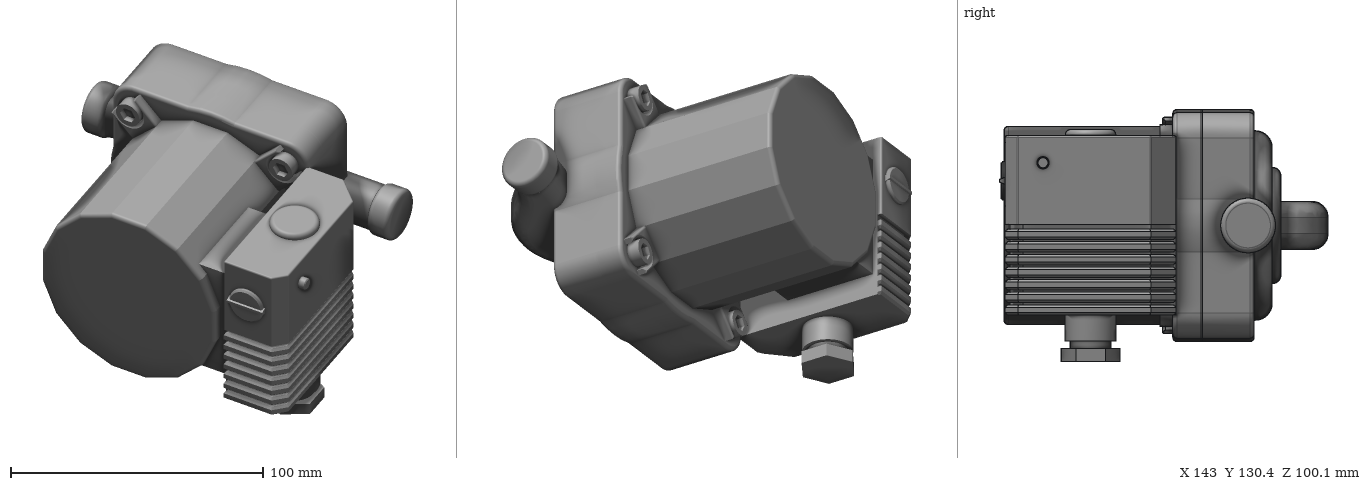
import cadquery as cq
import math


FLANGE_HALF = 44.8
BULGE_HALF_WIDTH = 10.6
BULGE_RISE = 1.3
CORNER_RADIUS = 10
FLANGE_FILLET = 1.7
SCREW_OFFSET = FLANGE_HALF - CORNER_RADIUS

GASKET_THICKNESS = 0.6
JOINT_BACK = GASKET_THICKNESS / 2
JOINT_FRONT = -GASKET_THICKNESS / 2
HOUSING_BACK = 20.7
FLANGE_FRONT = -11.6
MOTOR_FRONT = -78.5

VOLUTE_RADIUS = 37.6
VOLUTE_BACK = 27.9
VOLUTE_FILLET = 6.9
HUB_RADIUS = 23.0
HUB_BACK = 31.3
HUB_FILLET = 3.3
PIPE_RADIUS = 9.6
PORT_Y = 18.3
PORT_END = 70
PORT_RING_RADIUS = 10.9
PORT_RING_LENGTH = 10
PORT_RING_FILLET = 2.0
ELBOW_BACK_POINTS = [(-60, 28.2), (-51.8, 32.6), (-37.5, 44.9), (-17.9, 50), (0.6, 43.5), (8.6, 31.5)]
ELBOW_FRONT_POINT = (-42.9, 13.7)
ELBOW_FILLET = 6.5

CAN_SIDES = 16
CAN_APOTHEM = 39.3
CAN_FILLET = 1.7
CAN_SIDE = 2 * CAN_APOTHEM * math.tan(math.pi / CAN_SIDES)

PAD_HEIGHT = 4.1
PAD_END = 52.9
PAD_FILLET = 0.9
PAD_SLOT_RADIUS = 5.7
PAD_SLOT_CHAMFER = 1.3

HEAD_RADIUS = 5.3
HEAD_HEIGHT = 5.1
SOCKET_ACROSS_CORNERS = 6.9
SOCKET_DEPTH = 2.6

BOX_LEFT = 43.2
BOX_RIGHT = 69.9
BOX_BACK = -10.3
BOX_FRONT = -78.1
BOX_HALF_HEIGHT = 35.6
BOX_BACK_CHAMFER = 10
BOX_FRONT_CHAMFER = 5.0
BOX_FILLET = 0.7
BOX_CENTRE_X = (BOX_LEFT + BOX_RIGHT) / 2
BOX_CENTRE_Y = (BOX_BACK + BOX_FRONT) / 2

FIN_COUNT = 7
FIN_PITCH = 5.0
FIN_THICKNESS = 4.1
FIN_CHAMFER = 1.0
FIN_HEIGHT = 2.0
FIN_REGION_TOP = 0.5

CAP_RADIUS = 10
CAP_HEIGHT = 2.5
CAP_FILLET = 2.0
DIAL_X = 53.9
DIAL_Z = 17.7
DIAL_RADIUS = 7.7
DIAL_HEIGHT = 1.6
DIAL_CHAMFER = 0.7
GRIP_LENGTH = 16.2
GRIP_HEIGHT = 2.3
GRIP_BASE_WIDTH = 2.9
GRIP_TOP_WIDTH = 1.1
PIN_Y = -63.0
PIN_Z = 24.9
PIN_RADIUS = 2.5
PIN_END = 73
PIN_CHAMFER = 0.5

BRIDGE_HALF_HEIGHT = 25.9
BRIDGE_BACK = -33.9
BRIDGE_FRONT = -74.1

GLAND_RADIUS = 10.2
GLAND_NECK_RADIUS = 8.2
GLAND_NUT_ACROSS_FLATS = 20.3
GLAND_NECK_TOP = -45.9
GLAND_NUT_TOP = -48.8
GLAND_BOTTOM = -54.0


def facing_front(y):
    """Workplane at level y with local axes X and Z; extrusion runs toward -Y."""
    return cq.Workplane("XZ", origin=(0, y, 0))


def flange_plate(back, front):
    """Rounded square plate whose four sides each carry a shallow arched bulge."""
    size = 2 * FLANGE_HALF
    plate = facing_front(back).rect(size, size).extrude(back - front).edges("|Y").fillet(CORNER_RADIUS)
    bulge = (
        facing_front(back)
        .moveTo(-BULGE_HALF_WIDTH, 0)
        .lineTo(-BULGE_HALF_WIDTH, FLANGE_HALF)
        .threePointArc((0, FLANGE_HALF + BULGE_RISE), (BULGE_HALF_WIDTH, FLANGE_HALF))
        .lineTo(BULGE_HALF_WIDTH, 0)
        .close()
        .extrude(back - front)
    )
    for quarter in range(4):
        plate = plate.union(bulge.rotate((0, 0, 0), (0, 1, 0), 90 * quarter))
    return plate


def port_ring(inner_x):
    """Thickened pipe end running along X from inner_x."""
    return (
        cq.Workplane("YZ", origin=(inner_x, PORT_Y, 0))
        .circle(PORT_RING_RADIUS)
        .extrude(PORT_RING_LENGTH)
        .edges()
        .fillet(PORT_RING_FILLET)
    )


def inlet_elbow():
    """Flattened pipe that swings behind the volute and runs into it, as thick as the outlet pipe."""
    start_x = PORT_RING_LENGTH - PORT_END - ELBOW_FILLET
    end_x = ELBOW_BACK_POINTS[-1][0]
    return (
        cq.Workplane("XY", origin=(0, 0, -PIPE_RADIUS))
        .moveTo(start_x, PORT_Y + PIPE_RADIUS)
        .spline(ELBOW_BACK_POINTS, includeCurrent=True)
        .lineTo(end_x, HOUSING_BACK)
        .lineTo(*ELBOW_FRONT_POINT)
        .lineTo(start_x, PORT_Y - PIPE_RADIUS)
        .close()
        .extrude(2 * PIPE_RADIUS)
        .faces("<Z or >Z")
        .edges()
        .fillet(ELBOW_FILLET)
    )


def make_housing():
    body = flange_plate(HOUSING_BACK, JOINT_BACK).faces(">Y").edges().fillet(FLANGE_FILLET)
    volute = (
        facing_front(VOLUTE_BACK)
        .circle(VOLUTE_RADIUS)
        .extrude(VOLUTE_BACK - HOUSING_BACK)
        .faces(">Y")
        .edges()
        .fillet(VOLUTE_FILLET)
    )
    hub = (
        facing_front(HUB_BACK)
        .circle(HUB_RADIUS)
        .extrude(HUB_BACK - VOLUTE_BACK)
        .faces(">Y")
        .edges()
        .fillet(HUB_FILLET)
    )
    ring_inner = PORT_END - PORT_RING_LENGTH
    outlet = cq.Workplane("YZ", origin=(0, PORT_Y, 0)).circle(PIPE_RADIUS).extrude(ring_inner)
    rings = port_ring(ring_inner).union(port_ring(-PORT_END))
    return body.union(volute).union(hub).union(outlet).union(inlet_elbow()).union(rings)


def corner_pad():
    """Raised pad at the corner in the +X direction, before turning onto a diagonal."""
    slot_length = 2 * PAD_END
    slot_centre = math.hypot(SCREW_OFFSET, SCREW_OFFSET) + slot_length / 2
    flare_radius = PAD_SLOT_RADIUS + PAD_SLOT_CHAMFER
    pad = (
        facing_front(FLANGE_FRONT)
        .center(PAD_END / 2, 0)
        .rect(PAD_END, CAN_SIDE)
        .extrude(PAD_HEIGHT)
        .edges("<Y and (not <X)")
        .fillet(PAD_FILLET)
    )
    slot = (
        facing_front(FLANGE_FRONT)
        .center(slot_centre, 0)
        .slot2D(slot_length + 2 * PAD_SLOT_RADIUS, 2 * PAD_SLOT_RADIUS)
        .extrude(PAD_HEIGHT)
    )
    flare = (
        facing_front(FLANGE_FRONT - PAD_HEIGHT)
        .center(slot_centre, 0)
        .slot2D(slot_length + 2 * flare_radius, 2 * flare_radius)
        .extrude(-PAD_SLOT_CHAMFER, taper=45)
    )
    return pad.cut(slot).cut(flare)


def make_motor():
    flange = flange_plate(JOINT_FRONT, FLANGE_FRONT).faces("<Y").edges().fillet(FLANGE_FILLET)
    can = (
        facing_front(FLANGE_FRONT)
        .polygon(CAN_SIDES, 2 * CAN_APOTHEM, circumscribed=True)
        .extrude(FLANGE_FRONT - MOTOR_FRONT)
        .faces("<Y")
        .edges()
        .fillet(CAN_FILLET)
    )
    motor = flange.union(can)
    pad = corner_pad()
    for quarter in range(4):
        motor = motor.union(pad.rotate((0, 0, 0), (0, 1, 0), 45 + 90 * quarter))
    return motor


def make_screw(x, z):
    """Socket head resting on the flange."""
    return (
        facing_front(FLANGE_FRONT)
        .center(x, z)
        .circle(HEAD_RADIUS)
        .extrude(HEAD_HEIGHT)
        .faces("<Y")
        .workplane()
        .polygon(6, SOCKET_ACROSS_CORNERS)
        .cutBlind(-SOCKET_DEPTH)
    )


def box_prism(bottom, top, inset=0):
    """Upright prism with the box outline; inset pulls in its front and right sides."""
    right = BOX_RIGHT - inset
    front = BOX_FRONT + inset
    outline = [
        (BOX_LEFT, BOX_BACK),
        (right - BOX_BACK_CHAMFER, BOX_BACK),
        (right, BOX_BACK - BOX_BACK_CHAMFER),
        (right, front + BOX_FRONT_CHAMFER),
        (right - BOX_FRONT_CHAMFER, front),
        (BOX_LEFT, front),
    ]
    return cq.Workplane("XY", origin=(0, 0, bottom)).polyline(outline).close().extrude(top - bottom)


def make_box_shell():
    upper = box_prism(FIN_REGION_TOP, BOX_HALF_HEIGHT).edges("|Z or >Z").fillet(BOX_FILLET)
    shell = upper.union(box_prism(-BOX_HALF_HEIGHT, FIN_REGION_TOP, inset=FIN_HEIGHT))
    for index in range(FIN_COUNT):
        bottom = -BOX_HALF_HEIGHT + index * FIN_PITCH
        fin = box_prism(bottom, bottom + FIN_THICKNESS).faces("<Z or >Z").edges().chamfer(FIN_CHAMFER)
        shell = shell.union(fin)
    return shell


def box_fittings():
    """Round cap on top, dial with a grip on the front, pin on the right side."""
    cap = (
        cq.Workplane("XY", origin=(BOX_CENTRE_X, BOX_CENTRE_Y, BOX_HALF_HEIGHT))
        .circle(CAP_RADIUS)
        .extrude(CAP_HEIGHT)
        .faces(">Z")
        .edges()
        .fillet(CAP_FILLET)
    )
    dial = (
        facing_front(BOX_FRONT)
        .center(DIAL_X, DIAL_Z)
        .circle(DIAL_RADIUS)
        .extrude(DIAL_HEIGHT)
        .faces("<Y")
        .edges()
        .chamfer(DIAL_CHAMFER)
    )
    grip_profile = [
        (BOX_FRONT, DIAL_Z - GRIP_BASE_WIDTH / 2),
        (BOX_FRONT, DIAL_Z + GRIP_BASE_WIDTH / 2),
        (BOX_FRONT - GRIP_HEIGHT, DIAL_Z + GRIP_TOP_WIDTH / 2),
        (BOX_FRONT - GRIP_HEIGHT, DIAL_Z - GRIP_TOP_WIDTH / 2),
    ]
    grip = (
        cq.Workplane("YZ", origin=(DIAL_X - GRIP_LENGTH / 2, 0, 0))
        .polyline(grip_profile)
        .close()
        .extrude(GRIP_LENGTH)
    )
    pin = (
        cq.Workplane("YZ", origin=(BOX_RIGHT, PIN_Y, PIN_Z))
        .circle(PIN_RADIUS)
        .extrude(PIN_END - BOX_RIGHT)
        .faces(">X")
        .edges()
        .chamfer(PIN_CHAMFER)
    )
    return cap.union(dial).union(grip).union(pin)


def make_bridge(motor):
    """Block from the box to the can, shaped to the can's sides."""
    block = (
        facing_front(BRIDGE_BACK)
        .center(BOX_LEFT / 2, 0)
        .rect(BOX_LEFT, 2 * BRIDGE_HALF_HEIGHT)
        .extrude(BRIDGE_BACK - BRIDGE_FRONT)
    )
    return block.cut(motor)


def make_gland():
    centre = (BOX_CENTRE_X, BOX_CENTRE_Y)
    sleeve = (
        cq.Workplane("XY", origin=(*centre, GLAND_NECK_TOP))
        .circle(GLAND_RADIUS)
        .extrude(-BOX_HALF_HEIGHT - GLAND_NECK_TOP)
    )
    neck = (
        cq.Workplane("XY", origin=(*centre, GLAND_NUT_TOP))
        .circle(GLAND_NECK_RADIUS)
        .extrude(GLAND_NECK_TOP - GLAND_NUT_TOP)
    )
    nut = (
        cq.Workplane("XY", origin=(*centre, GLAND_BOTTOM))
        .polygon(6, GLAND_NUT_ACROSS_FLATS, circumscribed=True)
        .extrude(GLAND_NUT_TOP - GLAND_BOTTOM)
    )
    return sleeve.union(neck).union(nut)


housing = make_housing()
gasket = flange_plate(JOINT_BACK, JOINT_FRONT)
box_shell = make_box_shell()
motor = make_motor().cut(box_shell)
terminal_box = box_shell.union(box_fittings()).union(make_bridge(motor))
gland = make_gland()
screws = [
    make_screw(side_x * SCREW_OFFSET, side_z * SCREW_OFFSET)
    for side_x in (-1, 1)
    for side_z in (-1, 1)
]

result = cq.Compound.makeCompound(
    [
        housing.val(),
        gasket.val(),
        motor.val(),
        terminal_box.val(),
        gland.val(),
        *[screw.val() for screw in screws],
    ]
)